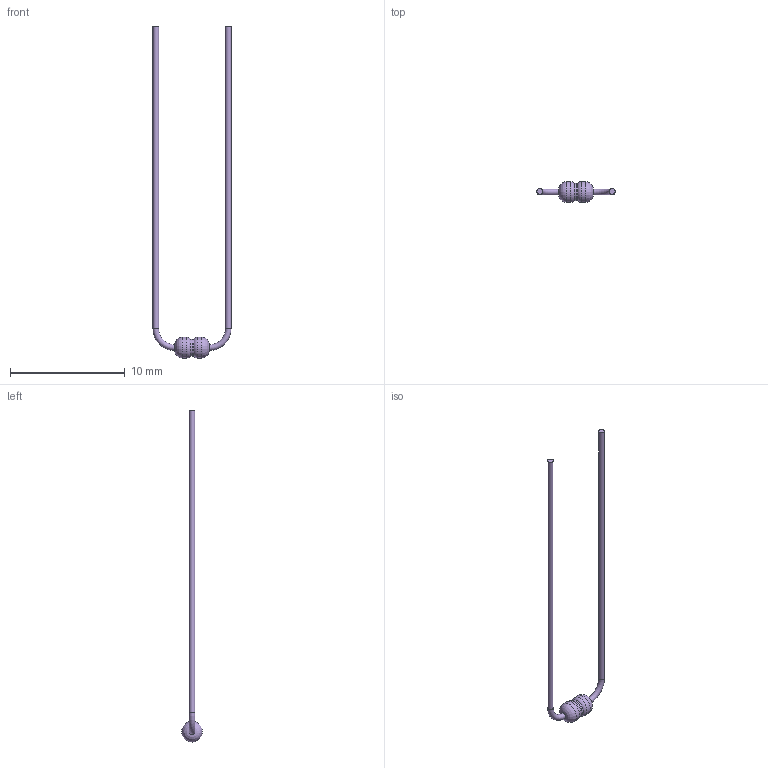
import cadquery as cq

wire_diameter = 0.5
lead_pitch = 6.3
bend_radius = 1.65
overall_height = 28.9

body_length = 3.0
body_diameter = 1.8
bulge_center = 0.65
bulge_flat = 0.4
neck_diameter = 1.5
neck_length = 0.3

wire_radius = wire_diameter / 2
lead_x = lead_pitch / 2
half_body = body_length / 2
body_radius = body_diameter / 2
bulge_inner = bulge_center - bulge_flat / 2
bulge_outer = bulge_center + bulge_flat / 2
neck_radius = neck_diameter / 2
half_neck = neck_length / 2
lead_top = overall_height - body_radius


def make_wire():
    """Round wire swept down one lead, through the body and up the other lead."""
    path = (
        cq.Workplane("XZ")
        .moveTo(-lead_x, lead_top)
        .lineTo(-lead_x, bend_radius)
        .radiusArc((-lead_x + bend_radius, 0), -bend_radius)
        .lineTo(lead_x - bend_radius, 0)
        .radiusArc((lead_x, bend_radius), -bend_radius)
        .lineTo(lead_x, lead_top)
    )
    section = cq.Workplane("XY", origin=(-lead_x, 0, lead_top)).circle(wire_radius)
    return section.sweep(path)


def make_body():
    """Half of the body with its wire bore, mirrored across the middle of the neck."""
    right_half = (
        cq.Workplane("XZ")
        .moveTo(bulge_outer, body_radius)
        .lineTo(bulge_inner, body_radius)
        .tangentArcPoint((half_neck, neck_radius), relative=False)
        .lineTo(0, neck_radius)
        .lineTo(0, wire_radius)
        .lineTo(half_body, wire_radius)
        .radiusArc((bulge_outer, body_radius), -(half_body - bulge_outer))
        .close()
        .revolve(360, (0, 0, 0), (1, 0, 0))
    )
    return right_half.union(right_half.mirror("YZ"))


wire = make_wire()
body = make_body()

result = cq.Compound.makeCompound([wire.val(), body.solids().val()])